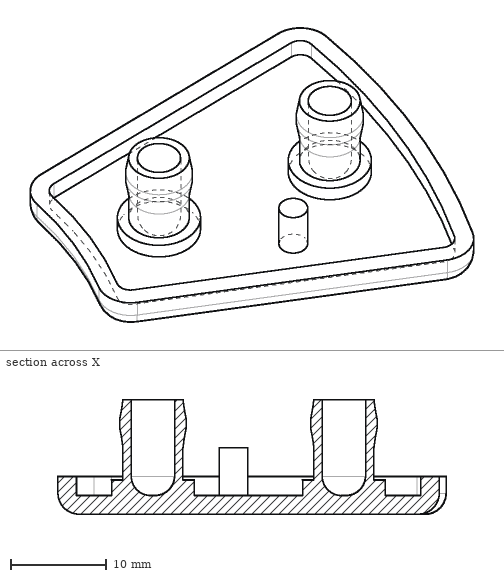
import cadquery as cq
import math

outer_radius = 80.0
inner_radius = 40.0
half_angle = math.radians(15)
corner_radius = 3.45
wall = 2.0
tray_height = 4.0
floor_height = 2.0
bottom_fillet = 2.25

post_centres = [(0, 50.0), (0, 70.0)]
collar_diameter = 8.7
collar_top = 3.62
shaft_diameter = 6.35
bead_diameter = 7.0
bead_start = 7.0
bead_low = 9.0
bead_high = 10.0
post_top = 12.0
bore_diameter = 4.5
bore_bottom = floor_height
bore_fillet = 2.0

pin_centre = (8.3, 61.55)
pin_diameter = 3.0
pin_top = 7.0


def sector_prism(inset, bottom, top):
    """Rounded sector whose outline lies the given distance inside the tray outline."""
    large = outer_radius - inset
    small = inner_radius + inset

    def side_point(radius):
        angle = half_angle - math.asin(inset / radius)
        return radius * math.sin(angle), radius * math.cos(angle)

    large_x, large_y = side_point(large)
    small_x, small_y = side_point(small)
    return (
        cq.Workplane("XY", origin=(0, 0, bottom))
        .moveTo(-small_x, small_y)
        .threePointArc((0, small), (small_x, small_y))
        .lineTo(large_x, large_y)
        .threePointArc((0, large), (-large_x, large_y))
        .close()
        .extrude(top - bottom)
        .edges("|Z")
        .fillet(corner_radius - inset)
    )


def cylinder(centre, diameter, bottom, top):
    return cq.Workplane("XY", origin=(*centre, bottom)).circle(diameter / 2).extrude(top - bottom)


def snap_post(centre):
    """Shaft with a tapered retaining bead, standing on the tray floor."""
    shaft_radius = shaft_diameter / 2
    bead_radius = bead_diameter / 2
    return (
        cq.Workplane("XZ", origin=(*centre, 0))
        .moveTo(0, floor_height)
        .lineTo(shaft_radius, floor_height)
        .lineTo(shaft_radius, bead_start)
        .lineTo(bead_radius, bead_low)
        .lineTo(bead_radius, bead_high)
        .lineTo(shaft_radius, post_top)
        .lineTo(0, post_top)
        .close()
        .revolve(360, (0, 0), (0, 1))
    )


def bore(centre):
    """Blind hole with a rounded bottom."""
    return cylinder(centre, bore_diameter, bore_bottom, post_top).faces("<Z").edges().fillet(bore_fillet)


tray = sector_prism(0, 0, tray_height).faces("<Z").edges().fillet(bottom_fillet)
result = tray.cut(sector_prism(wall, floor_height, tray_height))

for post_centre in post_centres:
    result = result.union(cylinder(post_centre, collar_diameter, floor_height, collar_top))
    result = result.union(snap_post(post_centre))
    result = result.cut(bore(post_centre))

result = result.union(cylinder(pin_centre, pin_diameter, floor_height, pin_top))